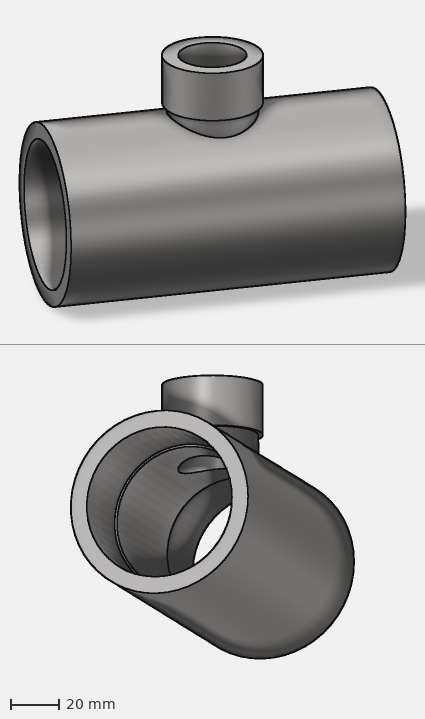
import cadquery as cq

pipe_length = 144.0
pipe_diameter = 77.0
bore_diameter = 61.0
socket_diameter = 63.0
socket_depth = 37.9

overall_height = 101.5
branch_top = overall_height - pipe_diameter / 2
collar_diameter = 41.9
collar_height = 21.0
neck_diameter = 38.2
branch_bore_diameter = 28.2


def cylinder_along_y(diameter, start, length):
    """Cylinder on the Y axis from y = start to y = start + length."""
    return cq.Workplane("XZ", origin=(0, start, 0)).circle(diameter / 2).extrude(-length)


def cylinder_along_z(diameter, bottom, top):
    """Cylinder on the Z axis between two heights."""
    return cq.Workplane("XY", origin=(0, 0, bottom)).circle(diameter / 2).extrude(top - bottom)


pipe = cylinder_along_y(pipe_diameter, -pipe_length / 2, pipe_length)
neck = cylinder_along_z(neck_diameter, 0, branch_top)
collar = cylinder_along_z(collar_diameter, branch_top - collar_height, branch_top)
body = pipe.union(neck).union(collar)

body = body.cut(cylinder_along_y(bore_diameter, -pipe_length / 2, pipe_length))
for socket_start in (-pipe_length / 2, pipe_length / 2 - socket_depth):
    body = body.cut(cylinder_along_y(socket_diameter, socket_start, socket_depth))

result = body.cut(cylinder_along_z(branch_bore_diameter, 0, branch_top))